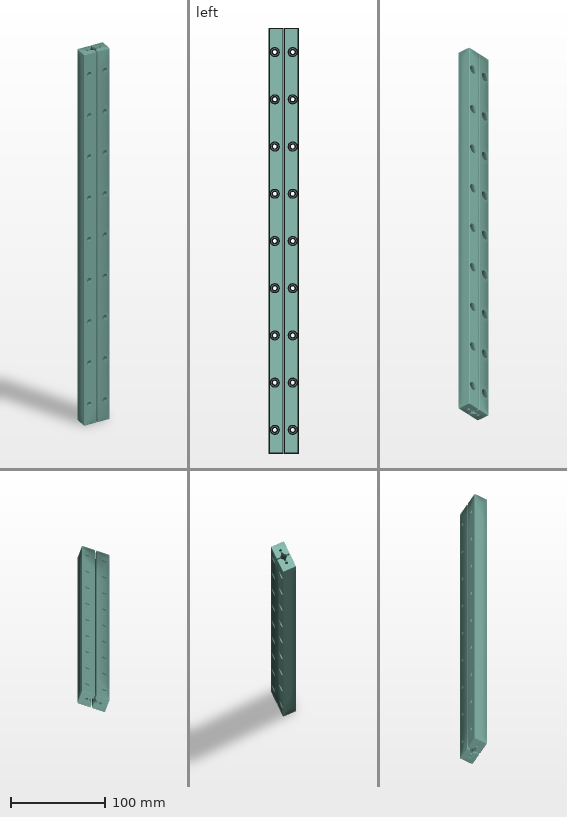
import cadquery as cq
import math

pair_width = 31.0
rail_height = 15.0
rail_length = 450.0
rail_gap = 1.4
rail_width = (pair_width - rail_gap) / 2
inner_face = rail_gap / 2

roller_square = 6.4
groove_depth = roller_square / math.sqrt(2) - inner_face
relief_width = 2.0
relief_floor = 5.2

mount_hole_diameter = 5.2
counterbore_diameter = 9.5
counterbore_depth = 5.2
mount_edge_distance = 6.0
mount_pitch = 50.0
mount_count = 9

end_hole_diameter = 3.0
end_hole_depth = 8.0
end_hole_offset = 7.65

edge_chamfer = 0.15


def rail_blank():
    """Plain bar on the +Y side, centred on X and Z, with its edges broken."""
    blank = cq.Workplane("XY").box(rail_height, rail_width, rail_length)
    blank = blank.edges().chamfer(edge_chamfer)
    return blank.translate((0, inner_face + rail_width / 2, 0))


def roller_groove():
    """Full-length vee groove with its relief slot. A 90 degree vee is as deep as half its mouth."""
    root_half_height = relief_width / 2
    vee_end = inner_face + groove_depth - root_half_height
    return (
        cq.Workplane("XY", origin=(0, 0, -rail_length / 2))
        .moveTo(-groove_depth, inner_face)
        .lineTo(-root_half_height, vee_end)
        .lineTo(-root_half_height, relief_floor)
        .lineTo(root_half_height, relief_floor)
        .lineTo(root_half_height, vee_end)
        .lineTo(groove_depth, inner_face)
        .close()
        .extrude(rail_length)
    )


def drill_mount_holes(rail):
    """Row of counterbored through holes along the rail."""
    hole_y = pair_width / 2 - mount_edge_distance
    first_z = -mount_pitch * (mount_count - 1) / 2
    for index in range(mount_count):
        center = (-rail_height / 2, hole_y, first_z + index * mount_pitch)
        entry = cq.Workplane("YZ", origin=center)
        rail = rail.cut(entry.circle(mount_hole_diameter / 2).extrude(rail_height))
        rail = rail.cut(entry.circle(counterbore_diameter / 2).extrude(counterbore_depth))
    return rail


def drill_end_holes(rail):
    """Blind stop-screw hole in each end of the rail."""
    for end_z, depth in ((rail_length / 2, -end_hole_depth), (-rail_length / 2, end_hole_depth)):
        entry = cq.Workplane("XY", origin=(0, end_hole_offset, end_z))
        rail = rail.cut(entry.circle(end_hole_diameter / 2).extrude(depth))
    return rail


def make_rail(side):
    """One rail on the +Y side (side = 1) or mirrored to the -Y side (side = -1)."""
    rail = rail_blank().cut(roller_groove())
    rail = drill_end_holes(drill_mount_holes(rail))
    if side < 0:
        rail = rail.mirror("XZ")
    return rail


rails = [make_rail(side) for side in (1, -1)]

result = cq.Compound.makeCompound([rail.val() for rail in rails])